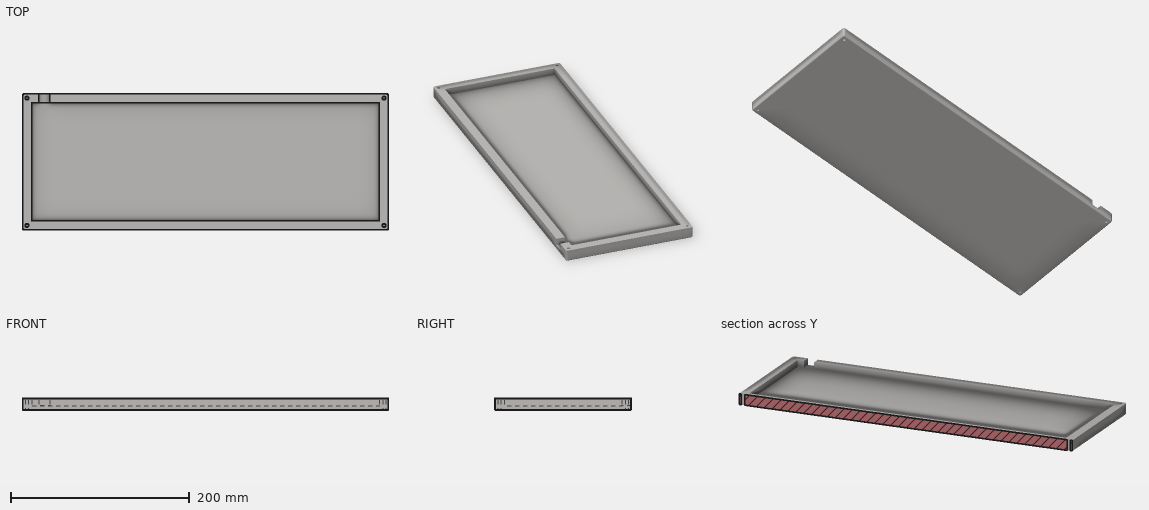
import cadquery as cq

length = 409.5
width = 152.3
height = 13.0
corner_radius = 2.0
bottom_radius = 1.2

wall = 10.2
pocket_depth = 8.0

notch_offset = 18.0
notch_width = 12.3
notch_sill = 0.5
notch_depth = pocket_depth - notch_sill

hole_diameter = 3.4
hole_inset = 5.0


def make_block():
    """Solid slab with rounded upright corners and a rounded bottom rim."""
    block = cq.Workplane("XY").box(length, width, height, centered=(True, True, False))
    block = block.edges("|Z").fillet(corner_radius)
    return block.faces("<Z").edges().fillet(bottom_radius)


def make_pocket():
    """Rectangular cavity open at the top, leaving an even wall all round."""
    return (
        cq.Workplane("XY")
        .workplane(offset=height - pocket_depth)
        .rect(length - 2 * wall, width - 2 * wall)
        .extrude(pocket_depth)
    )


def make_notch():
    """Slot from the pocket out through the +Y wall, near the -X end."""
    return (
        cq.Workplane("XY")
        .box(notch_width, wall, notch_depth, centered=False)
        .translate((notch_offset - length / 2, width / 2 - wall, height - notch_depth))
    )


def make_holes():
    """Four through holes, one in each corner of the wall."""
    return (
        cq.Workplane("XY")
        .rect(length - 2 * hole_inset, width - 2 * hole_inset, forConstruction=True)
        .vertices()
        .circle(hole_diameter / 2)
        .extrude(height)
    )


result = make_block().cut(make_pocket()).cut(make_notch()).cut(make_holes())